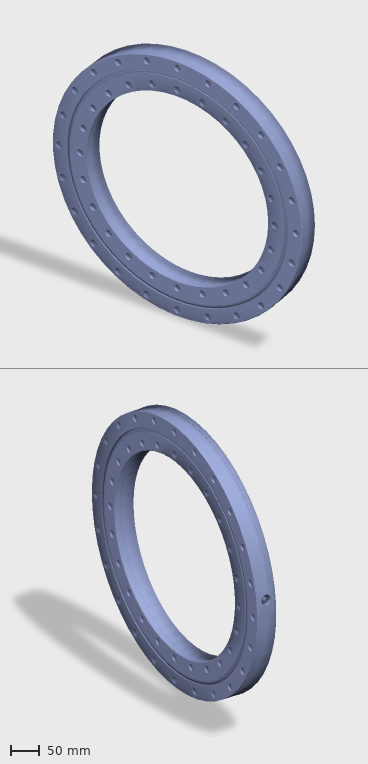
import cadquery as cq
import math

thickness = 40.0
flange_width = 10.0
edge_chamfer = 1.0
axis_start = (0, 0, 0)
axis_end = (0, 1, 0)

flange_radius = 527 / 2
outer_radius = 526.0 / 2
outer_gap_radius = 466.5 / 2

inner_gap_radius = 452.0 / 2
bore_radius = 383.5 / 2
rear_bore_radius = 382.5 / 2

hole_count = 24
hole_diameter = 13.5
outer_hole_circle = 500.0 / 2
inner_hole_circle = 410.0 / 2

seal_rim_radius = 458.5 / 2
seal_depth = 5.5
seal_recess = 1.5
lip_drop = 2.0

nipple_angle = 360 / hole_count / 2
pocket_diameter = 19.5
pocket_floor_radius = 250.5
hex_width = 11.0
hex_height = 2.0
neck_diameter = 4.0
neck_height = 2.5
head_diameter = 7.0
head_height = 2.0
shank_diameter = 6.0
shank_length = pocket_floor_radius - outer_gap_radius


def revolved(points):
    """Ring about the Y axis from a closed (radius, y) outline."""
    return cq.Workplane("XY").polyline(points).close().revolve(360, axis_start, axis_end)


def hole_circle(radius):
    """Through-hole cutters parallel to Y, evenly spaced with one on the X axis."""
    return (
        cq.Workplane("XZ")
        .polarArray(radius, 0, 360, hole_count)
        .circle(hole_diameter / 2)
        .extrude(-thickness)
    )


def along_nipple_axis(distance):
    """Radial workplane on the nipple axis, at a distance from the bearing axis."""
    angle = math.radians(nipple_angle)
    outward = cq.Vector(-math.cos(angle), 0, math.sin(angle))
    origin = outward * distance + cq.Vector(0, thickness / 2, 0)
    return cq.Workplane(cq.Plane(origin=origin, xDir=(0, 1, 0), normal=outward))


def make_outer_ring():
    ring = revolved([
        (outer_gap_radius, 0),
        (flange_radius - edge_chamfer, 0),
        (flange_radius, edge_chamfer),
        (flange_radius, flange_width),
        (outer_radius, flange_width),
        (outer_radius, thickness),
        (outer_gap_radius, thickness),
    ])
    pocket = along_nipple_axis(pocket_floor_radius).circle(pocket_diameter / 2).extrude(
        flange_radius - pocket_floor_radius
    )
    hole_depth = pocket_floor_radius - inner_gap_radius
    shank_hole = along_nipple_axis(pocket_floor_radius).circle(shank_diameter / 2).extrude(-hole_depth)
    return ring.cut(hole_circle(outer_hole_circle)).cut(pocket).cut(shank_hole)


def make_inner_ring():
    ring = revolved([
        (bore_radius, 0),
        (inner_gap_radius, 0),
        (inner_gap_radius, thickness),
        (rear_bore_radius + edge_chamfer, thickness),
        (rear_bore_radius, thickness - edge_chamfer),
        (rear_bore_radius, thickness - flange_width),
        (bore_radius, thickness - flange_width),
    ])
    return ring.cut(hole_circle(inner_hole_circle))


def make_front_seal():
    return revolved([
        (inner_gap_radius, seal_recess),
        (seal_rim_radius, seal_recess),
        (outer_gap_radius, seal_recess + lip_drop),
        (outer_gap_radius, seal_depth),
        (inner_gap_radius, seal_depth),
    ])


def make_nipple():
    """Hexagon seated on the pocket floor, with a neck and head outside it and a shank inside."""
    hex_top = pocket_floor_radius + hex_height
    neck_top = hex_top + neck_height
    seat = along_nipple_axis(pocket_floor_radius)
    hexagon = seat.polygon(6, hex_width, circumscribed=True).extrude(hex_height)
    neck = along_nipple_axis(hex_top).circle(neck_diameter / 2).extrude(neck_height)
    head = along_nipple_axis(neck_top).circle(head_diameter / 2).extrude(head_height)
    shank = along_nipple_axis(pocket_floor_radius).circle(shank_diameter / 2).extrude(-shank_length)
    return hexagon.union(neck).union(head).union(shank)


outer_ring = make_outer_ring()
inner_ring = make_inner_ring()
front_seal = make_front_seal()
rear_seal = front_seal.mirror("XZ", (0, thickness / 2, 0))
nipple = make_nipple()

result = cq.Compound.makeCompound([
    outer_ring.val(),
    inner_ring.val(),
    front_seal.val(),
    rear_seal.val(),
    nipple.val(),
])